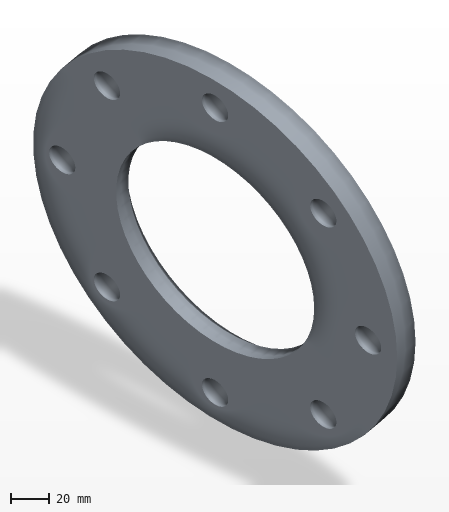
import cadquery as cq

outer_diameter = 250.0
thickness = 15.0
bore_diameter = 136.0
bore_chamfer = 5.0
bolt_circle_diameter = 210.0
bolt_hole_diameter = 18.0
bolt_hole_count = 8


def flange_ring():
    """Ring revolved about Y, with a 45 degree chamfer on the back edge of the bore."""
    outer_radius = outer_diameter / 2
    bore_radius = bore_diameter / 2
    profile = [
        (bore_radius, 0),
        (outer_radius, 0),
        (outer_radius, thickness),
        (bore_radius + bore_chamfer, thickness),
        (bore_radius, thickness - bore_chamfer),
    ]
    return cq.Workplane("XY").polyline(profile).close().revolve(360, (0, 0), (0, 1))


def bolt_holes():
    """Cylinders for the evenly spaced through holes, the first on +X."""
    return (
        cq.Workplane("XZ")
        .polarArray(bolt_circle_diameter / 2, 0, 360, bolt_hole_count)
        .circle(bolt_hole_diameter / 2)
        .extrude(-thickness)
    )


result = flange_ring().cut(bolt_holes())